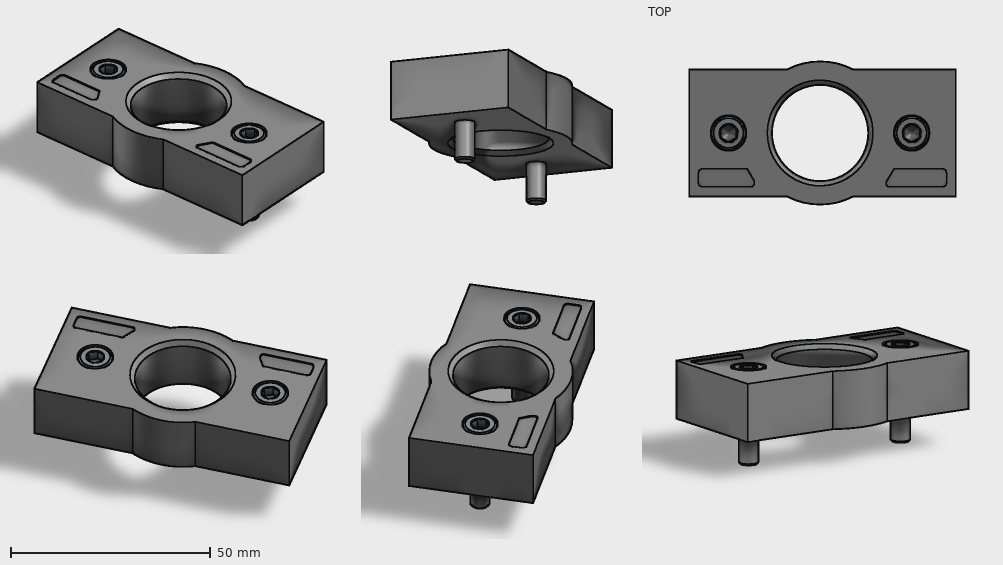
import cadquery as cq
import math

plate_left = -32.9
plate_right = 34.1
plate_width = 32.0
plate_thickness = 15.0
bulge_diameter = 36.0

bore_diameter = 24.12
bore_chamfer = 1.2

screw_spacing = 46.0
shank_diameter = 5.0
thread_root_diameter = 4.13
screw_length = 20.0
head_diameter = 8.5
head_height = 5.0
head_chamfer = 0.5
tip_chamfer_length = 0.5
socket_across_flats = 4.0
socket_depth = 2.5
socket_cone_slope = 30.0
counterbore_diameter = 9.0
screw_positions = [(-screw_spacing / 2, 0), (screw_spacing / 2, 0)]

label_depth = 0.3
label_height = 4.5
label_edge_gap = 2.5
label_end_gap = 2.35
label_corner_radius = 1.0
label_tip_radius = 0.85
label_slope_angle = 31.0
label_bottom = -plate_width / 2 + label_edge_gap
label_top = label_bottom + label_height
left_label_end = -16.55
left_label_end_height = 1.5
right_label_slope_foot = 15.9


def slope_run(rise):
    """X distance covered by the sloping end over a given rise in Y."""
    return rise * math.tan(math.radians(label_slope_angle))


def label_recess(outline, square_end, tip_end):
    """Solid to cut from the top face, rounded at all corners but the top of the slope."""
    return (
        cq.Workplane("XY")
        .polyline(outline)
        .close()
        .extrude(-label_depth)
        .edges("|Z").edges(square_end)
        .fillet(label_corner_radius)
        .edges("|Z").edges(tip_end)
        .fillet(label_tip_radius)
    )


def left_label():
    outer_end = plate_left + label_end_gap
    slope_top = left_label_end - slope_run(label_height - left_label_end_height)
    return label_recess([
        (outer_end, label_bottom),
        (left_label_end, label_bottom),
        (left_label_end, label_bottom + left_label_end_height),
        (slope_top, label_top),
        (outer_end, label_top),
    ], square_end="<X", tip_end=">X")


def right_label():
    outer_end = plate_right - label_end_gap
    slope_top = right_label_slope_foot + slope_run(label_height)
    return label_recess([
        (right_label_slope_foot, label_bottom),
        (outer_end, label_bottom),
        (outer_end, label_top),
        (slope_top, label_top),
    ], square_end=">X", tip_end="<X")


def make_cone(top_radius, bottom_radius, depth):
    """Cone about Z going down from Z = 0."""
    return cq.Solid.makeCone(top_radius, bottom_radius, depth, dir=cq.Vector(0, 0, -1))


def make_plate():
    length = plate_right - plate_left
    block = (
        cq.Workplane("XY")
        .center((plate_left + plate_right) / 2, 0)
        .rect(length, plate_width)
        .extrude(-plate_thickness)
    )
    bulge = cq.Workplane("XY").circle(bulge_diameter / 2).extrude(-plate_thickness)
    bore = cq.Workplane("XY").circle(bore_diameter / 2).extrude(-plate_thickness)

    cone_radius = bore_diameter / 2 + bore_chamfer
    top_cone = cq.Workplane(make_cone(cone_radius, bore_diameter / 2, bore_chamfer))
    bottom_cone = top_cone.mirror("XY").translate((0, 0, -plate_thickness))

    plate = block.union(bulge).cut(bore).cut(top_cone).cut(bottom_cone)

    counterbores = (
        cq.Workplane("XY")
        .pushPoints(screw_positions)
        .circle(counterbore_diameter / 2)
        .extrude(-head_height)
    )
    shank_holes = (
        cq.Workplane("XY")
        .pushPoints(screw_positions)
        .circle(shank_diameter / 2)
        .extrude(-plate_thickness)
    )
    plate = plate.cut(counterbores).cut(shank_holes)
    return plate.cut(left_label()).cut(right_label())


def make_socket():
    """Hexagon socket with a conical floor and a countersunk rim as wide as its corners."""
    rim_radius = socket_across_flats / 2 / math.cos(math.pi / 6)
    cone_depth = rim_radius * math.tan(math.radians(socket_cone_slope))
    hexagon = (
        cq.Workplane("XY")
        .polygon(6, 2 * rim_radius)
        .extrude(-socket_depth - cone_depth)
        .rotate((0, 0, 0), (0, 0, 1), 90)
    )
    drill = cq.Workplane("XY").circle(rim_radius).extrude(-socket_depth)
    drill_point = cq.Workplane(make_cone(rim_radius, 0, cone_depth)).translate((0, 0, -socket_depth))
    countersink = cq.Workplane(make_cone(rim_radius, 0, cone_depth))
    return hexagon.intersect(drill.union(drill_point)).union(countersink)


def make_screw(position):
    head = (
        cq.Workplane("XY")
        .circle(head_diameter / 2)
        .extrude(-head_height)
        .faces(">Z")
        .edges()
        .chamfer(head_chamfer)
    )
    tip_chamfer_width = (shank_diameter - thread_root_diameter) / 2
    shank = (
        cq.Workplane("XY")
        .workplane(offset=-head_height)
        .circle(shank_diameter / 2)
        .extrude(-screw_length)
        .faces("<Z")
        .chamfer(tip_chamfer_length, tip_chamfer_width)
    )

    return head.union(shank).cut(make_socket()).translate((*position, 0))


plate = make_plate()
screws = [make_screw(position) for position in screw_positions]

result = cq.Compound.makeCompound([plate.val(), *[screw.val() for screw in screws]])